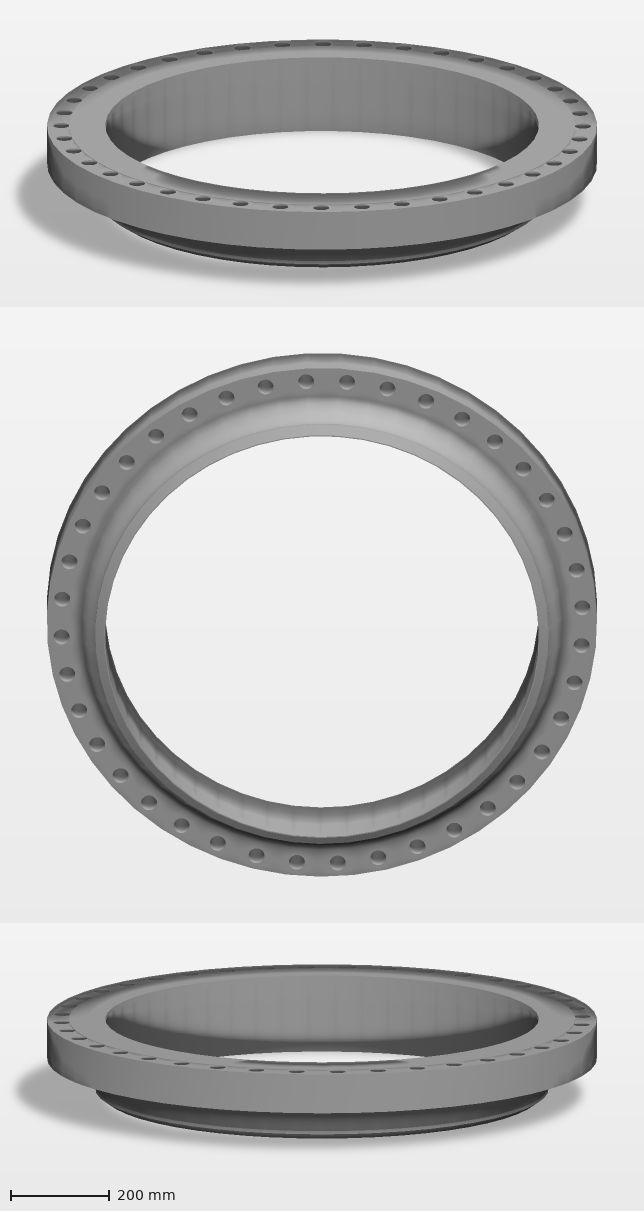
import cadquery as cq

outer_radius = 556.0
bore_radius = 438.0
total_height = 157.0
flange_thickness = 81.0

hub_root_radius = 488.0
hub_root_fillet = 12.0
lip_radius = 458.0
lip_height = 7.0
bevel_height = 12.0
bevel_end_radius = 440.0

face_radius = 511.0
face_height = 1.0

bolt_count = 40
bolt_circle_radius = 527.0
bolt_hole_diameter = 32.0

flange_bottom = total_height - flange_thickness
flange_top = total_height - face_height


def ring_body():
    """Revolve the half section of the flange and hub about Z."""
    ring = (
        cq.Workplane("XZ")
        .moveTo(bore_radius, 0)
        .lineTo(bevel_end_radius, 0)
        .lineTo(lip_radius, bevel_height)
        .lineTo(lip_radius, bevel_height + lip_height)
        .lineTo(hub_root_radius, flange_bottom)
        .lineTo(outer_radius, flange_bottom)
        .lineTo(outer_radius, flange_top)
        .lineTo(face_radius, flange_top)
        .lineTo(face_radius, total_height)
        .lineTo(bore_radius, total_height)
        .close()
        .revolve(360, (0, 0, 0), (0, 1, 0))
    )
    selection_margin = 1.0
    reach = hub_root_radius + selection_margin
    hub_root = cq.selectors.BoxSelector(
        (-reach, -reach, flange_bottom - selection_margin),
        (reach, reach, flange_bottom + selection_margin),
        boundingbox=True,
    )
    return ring.edges(hub_root).fillet(hub_root_fillet)


def bolt_holes():
    """Cylinders on the bolt circle, passing through the whole flange."""
    return (
        cq.Workplane("XY")
        .polarArray(bolt_circle_radius, 0, 360, bolt_count)
        .circle(bolt_hole_diameter / 2)
        .extrude(total_height)
    )


result = ring_body().cut(bolt_holes())